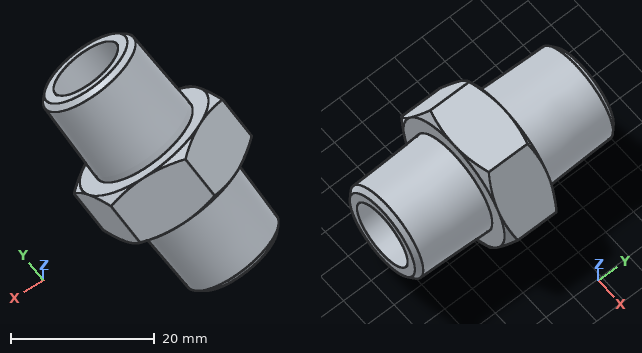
import cadquery as cq
import math

total_length = 36.0
front_length = 13.0
hex_thickness = 9.0
collar_length = 1.0
across_flats = 22.0
hex_chamfer_angle = 30.0
root_radius = 8.3
taper = 1 / 32
end_chamfer = 0.83
bore_radius = 5.5

across_corners = across_flats / math.cos(math.radians(30))
flat_radius = across_flats / 2
corner_radius = across_corners / 2
hex_chamfer_depth = (corner_radius - flat_radius) * math.tan(math.radians(hex_chamfer_angle))

front_y = -total_length / 2
back_y = total_length / 2
hex_front_y = front_y + front_length
hex_back_y = hex_front_y + hex_thickness
collar_y = hex_back_y + collar_length


def revolve_about_y(points):
    """Revolve a closed (radius, y) outline about the Y axis."""
    return cq.Workplane("XY").polyline(points).close().revolve(360, (0, 0, 0), (0, 1, 0))


def tapered_radius(length):
    """Radius of a tapered end at a given distance from its thick side."""
    return root_radius - taper * length


def make_hexagon():
    prism = (
        cq.Workplane("XZ", origin=(0, hex_front_y, 0))
        .polygon(6, across_corners)
        .extrude(-hex_thickness)
    )
    envelope = revolve_about_y([
        (0, hex_front_y),
        (flat_radius, hex_front_y),
        (corner_radius, hex_front_y + hex_chamfer_depth),
        (corner_radius, hex_back_y - hex_chamfer_depth),
        (flat_radius, hex_back_y),
        (0, hex_back_y),
    ])
    return prism.intersect(envelope)


def make_stem():
    """Both tapered ends with their chamfers and the straight collar."""
    front_tip_radius = tapered_radius(front_length - end_chamfer)
    back_tip_radius = tapered_radius(back_y - end_chamfer - collar_y)
    return revolve_about_y([
        (0, front_y),
        (front_tip_radius - end_chamfer, front_y),
        (front_tip_radius, front_y + end_chamfer),
        (root_radius, hex_front_y),
        (root_radius, collar_y),
        (back_tip_radius, back_y - end_chamfer),
        (back_tip_radius - end_chamfer, back_y),
        (0, back_y),
    ])


bore = cq.Workplane("XZ", origin=(0, front_y, 0)).circle(bore_radius).extrude(-total_length)

result = make_hexagon().union(make_stem()).cut(bore)